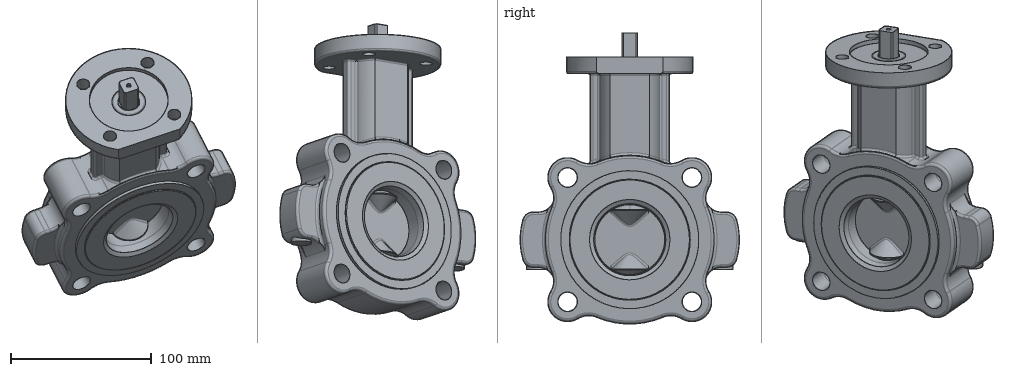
import cadquery as cq
import math


body_radius = 60.0
body_half_width = 18.8
body_edge_round = 2.0
lug_offset = 44.2
lug_radius = 14.0
lug_blend_radius = 15.0
lug_hole_radius = 6.8

plate_radius = 49.0
plate_half_width = 21.1
seat_radius = 43.0
seat_half_width = 22.0
seat_bevel = 0.6
bore_radius = 24.8
bore_mouth_radius = 28.5
bore_mouth_depth = 1.9
bore_lip_radius = 25.7
bore_lip_depth = 7.5

disc_half_thickness = 3.1
hub_tip_height = 7.0
hub_rim_height = 20.7
hub_rim_radius = hub_rim_height - hub_tip_height
hub_rim_thickness = 0.8
hub_end_radius = 8.3
hub_blend_radius = 1.7

wing_reach = 78.0
wing_half_width = 11.28
wing_half_height = 19.7
wing_end_radius = 50.7
wing_corner_radius = 7.7
wing_root_radius = 11.4
wing_root_start = 65.0
wing_edge_round = 1.9
wing_side_root_radius = 2.0
pad_radius = 7.2
pad_offset = 66.2
pad_bottom = -21.3

neck_radius = 21.7
neck_half_width = 16.66
rib_reach = 28.2
rib_half_width = 4.1
rib_edge_round = 1.9
rib_root_radius = 1.9
neck_top_round = 1.2
neck_root_round = 1.9
foot_half_width = 18.0

flange_top = 130.0
flange_thickness = 12.0
flange_bottom = flange_top - flange_thickness
flange_radius = 45.0
flange_flat_offset = 38.0
flange_edge_round = 1.7
flange_hole_offset = 24.74
flange_hole_radius = 4.5
recess_radius = 28.0
recess_depth = 3.1
recess_floor = flange_top - recess_depth

stem_top = 147.0
stem_half_side = 5.5
stem_corner_chamfer = 1.2
stem_gap_radius = 7.7
stem_gap_depth = 2.0
bush_radius = 12.0
bush_height = 0.5
bush_bevel = 0.8
center_hole_radius = 1.5
center_hole_depth = 2.5

selection_margin = 0.2


def x_cylinder(radius, half_width):
    """Cylinder along X, centred on the origin."""
    return cq.Workplane("YZ").circle(radius).extrude(half_width, both=True)


def z_cylinder(radius, bottom, top):
    """Cylinder along Z between two heights."""
    return cq.Workplane("XY").workplane(offset=bottom).circle(radius).extrude(top - bottom)


def polar(radius, angle):
    """Point at a radius and an angle from the first axis."""
    return (radius * math.cos(angle), radius * math.sin(angle))


def lug_prism(half_width):
    """Round prism with four lugs, joined by concave arcs tangent to both."""
    lug_distance = lug_offset * math.sqrt(2)
    blend_distance = body_radius + lug_blend_radius
    blend_reach = lug_radius + lug_blend_radius
    blend_angle = math.acos(
        (lug_distance**2 + blend_distance**2 - blend_reach**2) / (2 * lug_distance * blend_distance)
    )
    blend_along, blend_across = polar(blend_distance, blend_angle)
    toward_body = blend_angle - math.pi
    toward_lug = math.atan2(-blend_across, lug_distance - blend_along)

    def blend_point(direction):
        """Distance and angle, measured from the lug direction, of a point on the blend arc."""
        along = blend_along + lug_blend_radius * math.cos(direction)
        across = blend_across + lug_blend_radius * math.sin(direction)
        return math.hypot(along, across), math.atan2(across, along)

    lug_end_distance, lug_end_angle = blend_point(toward_lug)
    middle_distance, middle_angle = blend_point((toward_body + toward_lug) / 2)

    quarter_turn = math.pi / 2
    outline = cq.Workplane("YZ").moveTo(*polar(body_radius, quarter_turn / 2 - blend_angle))
    for quarter in range(4):
        lug_angle = (quarter + 0.5) * quarter_turn
        outline = (
            outline.threePointArc(
                polar(middle_distance, lug_angle - middle_angle),
                polar(lug_end_distance, lug_angle - lug_end_angle),
            )
            .threePointArc(
                polar(lug_distance + lug_radius, lug_angle),
                polar(lug_end_distance, lug_angle + lug_end_angle),
            )
            .threePointArc(
                polar(middle_distance, lug_angle + middle_angle),
                polar(body_radius, lug_angle + blend_angle),
            )
            .threePointArc(
                polar(body_radius, lug_angle + quarter_turn / 2),
                polar(body_radius, lug_angle + quarter_turn - blend_angle),
            )
        )
    return outline.close().extrude(half_width, both=True)


def make_lug_body():
    """Lug prism with rounded rims on both faces."""
    return lug_prism(body_half_width).faces("<X or >X").edges().fillet(body_edge_round)


def wing_blank(side, half_width):
    """Wing outline with a bulged end and a root that flares into the body."""
    half_angle = math.asin(wing_half_height / wing_end_radius)
    corner_reach = wing_reach - wing_end_radius * (1 - math.cos(half_angle))
    root_reach = wing_root_start - wing_root_radius
    root_height = wing_half_height + wing_root_radius
    blank = (
        cq.Workplane("YZ")
        .moveTo(side * wing_root_start, -wing_half_height)
        .lineTo(side * corner_reach, -wing_half_height)
        .threePointArc((side * wing_reach, 0), (side * corner_reach, wing_half_height))
        .lineTo(side * wing_root_start, wing_half_height)
        .radiusArc((side * root_reach, root_height), side * wing_root_radius)
        .lineTo(side * root_reach, -root_height)
        .radiusArc((side * wing_root_start, -wing_half_height), side * wing_root_radius)
        .close()
        .extrude(half_width, both=True)
    )
    beyond_root = (wing_root_start + corner_reach) / 2
    corner_zone = cq.selectors.BoxSelector(
        (-half_width, side * beyond_root, -root_height),
        (half_width, side * wing_reach, root_height),
    )
    return blank.edges("|X").edges(corner_zone).fillet(wing_corner_radius)


def make_wing(side):
    """Rounded wing with concave roots on both flanks and a pad underneath."""
    blade = wing_blank(side, wing_half_width).faces("<X or >X").edges().fillet(wing_edge_round)
    flank_end = wing_half_width + wing_side_root_radius
    root_ring = (
        cq.Workplane("XY")
        .moveTo(-flank_end, body_radius - wing_side_root_radius)
        .lineTo(-flank_end, body_radius)
        .radiusArc((-wing_half_width, body_radius + wing_side_root_radius), -wing_side_root_radius)
        .lineTo(wing_half_width, body_radius + wing_side_root_radius)
        .radiusArc((flank_end, body_radius), -wing_side_root_radius)
        .lineTo(flank_end, body_radius - wing_side_root_radius)
        .close()
        .revolve(360, (0, 0), (1, 0))
    )
    flank_roots = root_ring.intersect(wing_blank(side, flank_end))
    pad = z_cylinder(pad_radius, pad_bottom, 0).translate((0, side * pad_offset, 0))
    return blade.union(flank_roots).union(pad)


def neck_column():
    """Round column with two flats."""
    flats = cq.Workplane("XY").rect(2 * neck_half_width, 2 * neck_radius).extrude(flange_bottom)
    return z_cylinder(neck_radius, 0, flange_bottom).intersect(flats)


def neck_rib():
    """Blade through the column that forms a rounded rib on each side."""
    rib = cq.Workplane("XY").rect(2 * rib_half_width, 2 * rib_reach).extrude(flange_bottom)
    return rib.edges("|Z").fillet(rib_edge_round)


def box_around(half_x, y_range, z_range):
    """Selector for edges inside a box centred on X, with a small margin."""
    margin = selection_margin
    return cq.selectors.BoxSelector(
        (-half_x - margin, y_range[0] - margin, z_range[0] - margin),
        (half_x + margin, y_range[1] + margin, z_range[1] + margin),
        boundingbox=True,
    )


def flare_into_flange(upright):
    """Join a plain upright to the core of the flange with a small fillet."""
    core = z_cylinder(flange_flat_offset - flange_edge_round, flange_bottom, flange_top)
    joint_zone = box_around(neck_radius, (-rib_reach, rib_reach), (flange_bottom, flange_bottom))
    return upright.union(core).edges(joint_zone).fillet(neck_top_round)


def make_neck():
    """Column with two ribs, blended into each other, the flange and the lug body."""
    neck = neck_column().union(neck_rib())
    rib_root_y = math.sqrt(neck_radius**2 - rib_half_width**2)
    for root_y in (-rib_root_y, rib_root_y):
        root_zone = box_around(rib_half_width, (root_y, root_y), (0, flange_bottom))
        neck = neck.edges(root_zone).fillet(rib_root_radius)

    base = lug_prism(flange_radius)
    foot_bottom = math.sqrt(body_radius**2 - rib_reach**2)
    foot_zone = box_around(neck_half_width, (-rib_reach, rib_reach), (foot_bottom, body_radius))
    footed_neck = base.union(neck).edges(foot_zone).fillet(neck_root_round)
    foot_reach = rib_reach + neck_root_round
    foot_limits = cq.Workplane("XY").rect(2 * foot_half_width, 2 * foot_reach).extrude(flange_bottom)
    neck = footed_neck.intersect(foot_limits)
    return neck.union(flare_into_flange(neck_column())).union(flare_into_flange(neck_rib()))


def make_flange():
    """Round mounting flange with one flat on the +X side."""
    flange = z_cylinder(flange_radius, flange_bottom, flange_top)
    flange = flange.faces("<Z").edges().fillet(flange_edge_round)
    beyond_flat = cq.Workplane("XY").box(
        flange_radius, 2 * flange_radius, 2 * flange_top, centered=(False, True, False)
    )
    return flange.cut(beyond_flat.translate((flange_flat_offset, 0, 0)))


def make_flange_cuts():
    """Recess, bolt holes and the annular gap around the stem."""
    recess = z_cylinder(recess_radius, recess_floor, flange_top)
    gap = z_cylinder(stem_gap_radius, recess_floor - stem_gap_depth, flange_top)
    holes = (
        cq.Workplane("XY")
        .workplane(offset=flange_bottom)
        .rect(2 * flange_hole_offset, 2 * flange_hole_offset, forConstruction=True)
        .vertices()
        .circle(flange_hole_radius)
        .extrude(flange_thickness)
    )
    return recess.union(gap).union(holes)


def make_stem():
    """Square stem with bevelled corners and a small centre hole in its end."""
    stem = (
        cq.Workplane("XY")
        .workplane(offset=flange_bottom)
        .rect(2 * stem_half_side, 2 * stem_half_side)
        .extrude(stem_top - flange_bottom)
        .edges("|Z")
        .chamfer(stem_corner_chamfer)
    )
    return stem.cut(z_cylinder(center_hole_radius, stem_top - center_hole_depth, stem_top))


def make_bush():
    """Low bevelled ring around the stem on the recess floor."""
    ring = z_cylinder(bush_radius, recess_floor, recess_floor + bush_height)
    ring = ring.faces(">Z").edges().chamfer(bush_height / 2, bush_bevel)
    return ring.cut(z_cylinder(stem_gap_radius, recess_floor, flange_top))


def make_bore():
    """Through bore with a conical mouth and a slightly tapered lip at each end."""
    mouth_end = seat_half_width - bore_mouth_depth
    lip_end = seat_half_width - bore_lip_depth
    return (
        cq.Workplane("XY")
        .moveTo(-seat_half_width, 0)
        .lineTo(-seat_half_width, bore_mouth_radius)
        .lineTo(-mouth_end, bore_lip_radius)
        .lineTo(-lip_end, bore_radius)
        .lineTo(lip_end, bore_radius)
        .lineTo(mouth_end, bore_lip_radius)
        .lineTo(seat_half_width, bore_mouth_radius)
        .lineTo(seat_half_width, 0)
        .close()
        .revolve(360, (0, 0), (1, 0))
    )


def make_disc():
    """Flat disc closing the bore, with a conical hub blended into it at the top and the bottom."""
    oversize = bore_mouth_radius
    disc = x_cylinder(oversize, disc_half_thickness)
    hub = (
        cq.Workplane("XZ")
        .moveTo(0, hub_tip_height)
        .lineTo(hub_rim_radius, hub_rim_height)
        .lineTo(hub_rim_radius, oversize)
        .lineTo(0, oversize)
        .close()
        .revolve(360, (0, 0), (0, 1))
    )
    blended = disc.union(hub).union(hub.mirror("XY")).edges("%HYPERBOLA").fillet(hub_blend_radius)
    hub_envelope = (
        cq.Workplane("XZ")
        .lineTo(oversize, 0)
        .lineTo(hub_rim_radius, hub_rim_height + hub_rim_thickness)
        .lineTo(hub_end_radius, bore_radius)
        .lineTo(0, bore_radius)
        .close()
        .revolve(360, (0, 0), (0, 1))
    )
    flat_disc = x_cylinder(bore_radius, disc_half_thickness)
    envelope = hub_envelope.union(hub_envelope.mirror("XY"))
    return blended.intersect(envelope).union(flat_disc)


def make_lug_holes():
    """Bolt holes through the four lugs."""
    return (
        cq.Workplane("YZ")
        .rect(2 * lug_offset, 2 * lug_offset, forConstruction=True)
        .vertices()
        .circle(lug_hole_radius)
        .extrude(body_half_width, both=True)
    )


def make_seats():
    """Raised sealing plates with a bevelled seat ring, on both faces."""
    plates = x_cylinder(plate_radius, plate_half_width)
    seats = x_cylinder(seat_radius, seat_half_width).faces("<X or >X").edges().chamfer(seat_bevel)
    return plates.union(seats)


body = make_lug_body().union(make_neck()).union(make_flange())
for wing_side in (-1, 1):
    body = body.union(make_wing(wing_side))

body = body.union(make_seats())
body = body.cut(make_lug_holes()).cut(make_bore()).union(make_disc())

body = body.cut(make_flange_cuts())
result = body.union(make_bush()).union(make_stem())